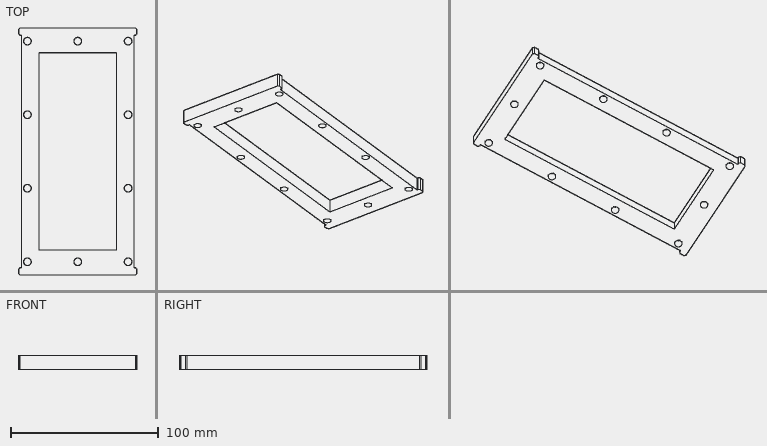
import cadquery as cq

length = 167.4
thickness = 9.53
body_width = 76.2

ear_projection = 2.0
ear_length = 5.0
ear_chamfer = 1.0
ear_span = body_width + 2 * ear_projection

side_rail_width = 12.0
end_rail_width = 17.0
window_width = body_width - 2 * side_rail_width
window_length = length - 2 * end_rail_width

hole_diameter = 5.0
hole_side_inset = 4.0
hole_end_inset = 9.0
holes_per_column = 4
hole_column_x = body_width / 2 - hole_side_inset
hole_end_y = length / 2 - hole_end_inset
hole_pitch = 2 * hole_end_y / (holes_per_column - 1)


def make_plate():
    """Body with a crossbar at each end whose chamfered tips form the corner ears."""
    body = cq.Workplane("XY").box(body_width, length, thickness)
    crossbar_y = (length - ear_length) / 2
    crossbars = (
        cq.Workplane("XY")
        .pushPoints([(0, -crossbar_y), (0, crossbar_y)])
        .box(ear_span, ear_length, thickness)
        .edges("|Z")
        .chamfer(ear_chamfer)
    )
    return body.union(crossbars)


def hole_centers():
    """Two side columns, plus one hole midway between them at each end."""
    centers = [(0, -hole_end_y), (0, hole_end_y)]
    for row in range(holes_per_column):
        y = row * hole_pitch - hole_end_y
        centers += [(-hole_column_x, y), (hole_column_x, y)]
    return centers


def make_window():
    """Block that opens the rectangular window through the plate."""
    return cq.Workplane("XY").box(window_width, window_length, thickness)


def make_holes():
    """Cylinders that open all the through holes."""
    return (
        cq.Workplane("XY")
        .workplane(offset=-thickness / 2)
        .pushPoints(hole_centers())
        .circle(hole_diameter / 2)
        .extrude(thickness)
    )


result = make_plate().cut(make_window()).cut(make_holes())